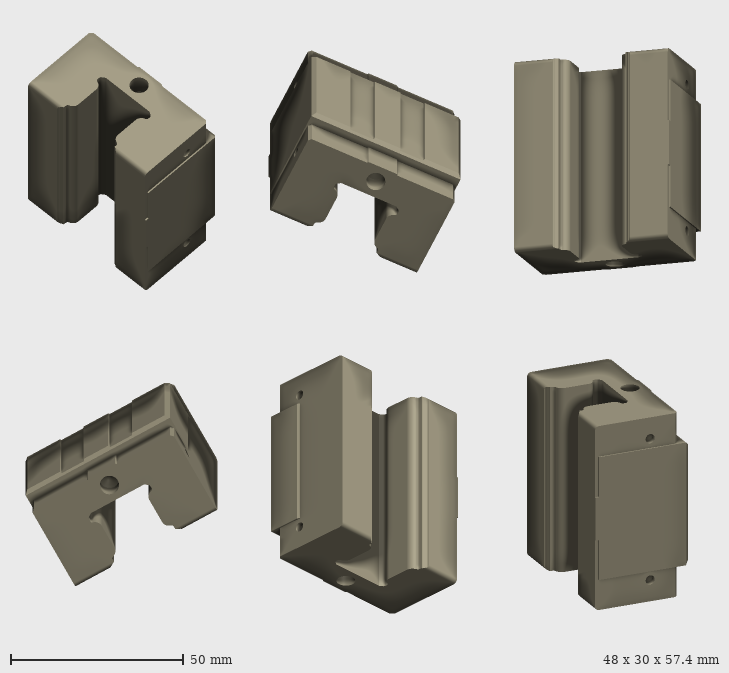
import cadquery as cq
import math

length = 57.4
body_half_width = 23.55
body_height = 26.45
body_corner_chamfer = 0.85
end_fillet = 1.3

ridge_half_width = 4.55
ridge_rise = 0.4

block_half_width = 24.0
block_height = 30.0
block_length = 38.35
block_chamfer = 1.15
flank_bottom = 18.15
flank_bevel_bottom = 17.4
ledge_height = 1.05
tongue_length = 13.45

groove_offset = 8.05
groove_width = 7.45
groove_depth = 0.5
groove_side_run = 0.25

channel_half_width = 10.2
channel_top = 17.3
channel_corner_run = 1.45
channel_corner_rise = 0.9
wall_radius = 0.75
neck_half_width = 7.9
rib_radius = 2.3
rib_arc_angle = 72.0
rib_arc_top = 12.35
rib_arc_bottom = 4.95
lip_top = 1.15
lip_inner = 10.45
lip_outer = 11.25
lip_radius = 0.5
mouth_half_width = lip_outer + lip_radius

end_hole_diameter = 5.55
end_hole_depth = 6.9
end_hole_height = 22.05
drill_point_angle = 118.0
side_hole_diameter = 2.85
side_hole_depth = 1.6
side_hole_height = 17.6
side_hole_offset = 22.05


def bar(outline, bar_length):
    """Extrude a closed XY outline along Z, centred on Z = 0."""
    return outline.extrude(bar_length / 2, both=True)


def make_body():
    """Plain bar with chamfered back corners and rounded front end edges."""
    width = 2 * body_half_width
    body = cq.Workplane("XY").box(width, body_height, length, centered=(True, False, True))
    body = body.edges("|Z and >Y").chamfer(body_corner_chamfer)
    return body.edges("<Y and |X").fillet(end_fillet)


def make_ridge():
    """Low ridge with sloped sides down the middle of the back."""
    foot = ridge_half_width + ridge_rise
    top = body_height + ridge_rise
    outline = cq.Workplane("XY").polyline(
        [(-foot, body_height), (foot, body_height), (ridge_half_width, top), (-ridge_half_width, top)]
    ).close()
    return bar(outline, length)


def make_block():
    """Steel block whose flanks stand proud of the body, the -X one being cut short."""
    outline = cq.Workplane("XY").polyline([
        (-block_half_width, block_height),
        (-block_half_width, flank_bottom),
        (-body_half_width, flank_bevel_bottom),
        (-body_half_width, ledge_height),
        (block_half_width, ledge_height),
        (block_half_width, block_height),
    ]).close()
    block = bar(outline, block_length).faces(">Y").edges().chamfer(block_chamfer)
    tongue_width = block_half_width - mouth_half_width
    tongue = cq.Workplane("XY").box(
        tongue_width, body_height, tongue_length, centered=(False, False, True)
    ).translate((mouth_half_width, 0, 0))
    return block.union(tongue)


def make_mounting_groove(x):
    """Shallow groove with sloped sides along Z in the mounting face."""
    floor_half = groove_width / 2
    rim_half = floor_half + groove_side_run
    floor = block_height - groove_depth
    outline = cq.Workplane("XY").polyline([
        (x - rim_half, block_height),
        (x - floor_half, floor),
        (x + floor_half, floor),
        (x + rim_half, block_height),
    ]).close()
    return bar(outline, block_length)


def make_channel_half():
    """+X half of the rail channel, from the middle plane to its wall."""
    centre_x = neck_half_width + rib_radius

    def arc_point(centre_y, angle, side):
        """Point on a rib corner, `angle` degrees round from the neck wall."""
        turn = math.radians(angle)
        return (
            centre_x - rib_radius * math.cos(turn),
            centre_y + side * rib_radius * math.sin(turn),
        )

    upper_end = arc_point(rib_arc_top, rib_arc_angle, 1)
    lower_end = arc_point(rib_arc_bottom, rib_arc_angle, -1)
    tangent_rise = (channel_half_width - upper_end[0]) / math.tan(math.radians(rib_arc_angle))
    lip_arc_middle = (
        lip_outer + lip_radius * math.sin(math.pi / 4),
        lip_radius * math.cos(math.pi / 4),
    )
    outline = (
        cq.Workplane("XY")
        .moveTo(0, channel_top)
        .lineTo(channel_half_width - channel_corner_run, channel_top)
        .lineTo(channel_half_width, channel_top - channel_corner_rise)
        .lineTo(channel_half_width, upper_end[1] + tangent_rise)
        .lineTo(*upper_end)
        .threePointArc(arc_point(rib_arc_top, rib_arc_angle / 2, 1), (neck_half_width, rib_arc_top))
        .lineTo(neck_half_width, rib_arc_bottom)
        .threePointArc(arc_point(rib_arc_bottom, rib_arc_angle / 2, -1), lower_end)
        .lineTo(channel_half_width, lower_end[1] - tangent_rise)
        .lineTo(channel_half_width, lip_top)
        .lineTo(lip_inner, lip_top)
        .lineTo(lip_outer, lip_radius)
        .threePointArc(lip_arc_middle, (mouth_half_width, 0))
        .lineTo(0, 0)
        .close()
    )
    wall_ends = cq.selectors.BoxSelector(
        (channel_half_width - wall_radius / 10, 2 * lip_top, -length),
        (channel_half_width + wall_radius / 10, channel_top, length),
    )
    return bar(outline, length).edges("|Z").edges(wall_ends).fillet(wall_radius)


def make_end_hole():
    """Drilled hole with a conical point in the +Z end."""
    radius = end_hole_diameter / 2
    point = radius / math.tan(math.radians(drill_point_angle / 2))
    top = length / 2
    floor = top - end_hole_depth
    outline = cq.Workplane("XZ").polyline(
        [(0, top), (radius, top), (radius, floor), (0, floor - point)]
    ).close()
    return outline.revolve(360, (0, 0), (0, 1)).translate((0, end_hole_height, 0))


def make_side_hole(z):
    """Blind hole in the -X side."""
    centre = cq.Vector(-body_half_width, side_hole_height, z)
    return cq.Solid.makeCylinder(side_hole_diameter / 2, side_hole_depth, centre, cq.Vector(1, 0, 0))


result = make_body().union(make_ridge()).union(make_block())

for side in (-1, 1):
    result = result.cut(make_mounting_groove(side * groove_offset))

channel_half = make_channel_half()
result = result.cut(channel_half).cut(channel_half.mirror("YZ"))

end_hole = make_end_hole()
result = result.cut(end_hole).cut(end_hole.mirror("XY"))

for z in (-side_hole_offset, side_hole_offset):
    side_hole = cq.Workplane(make_side_hole(z))
    result = result.cut(side_hole).cut(side_hole.mirror("YZ"))